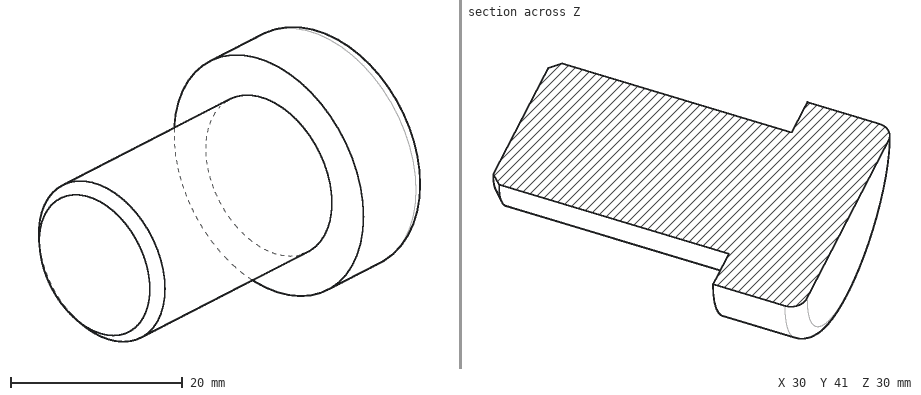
import cadquery as cq

head_diameter = 30.0
head_length = 11.0
head_edge_radius = 2.0
shank_diameter = 20.0
shank_length = 30.0
tip_chamfer = 1.25


def make_head():
    """Cylindrical head from Y = 0 toward +Y, rounded at its outer end."""
    head = cq.Workplane("XZ").circle(head_diameter / 2).extrude(-head_length)
    return head.faces(">Y").edges().fillet(head_edge_radius)


def make_shank():
    """Cylindrical shank from Y = 0 toward -Y, chamfered at its tip."""
    shank = cq.Workplane("XZ").circle(shank_diameter / 2).extrude(shank_length)
    return shank.faces("<Y").edges().chamfer(tip_chamfer)


result = make_head().union(make_shank())